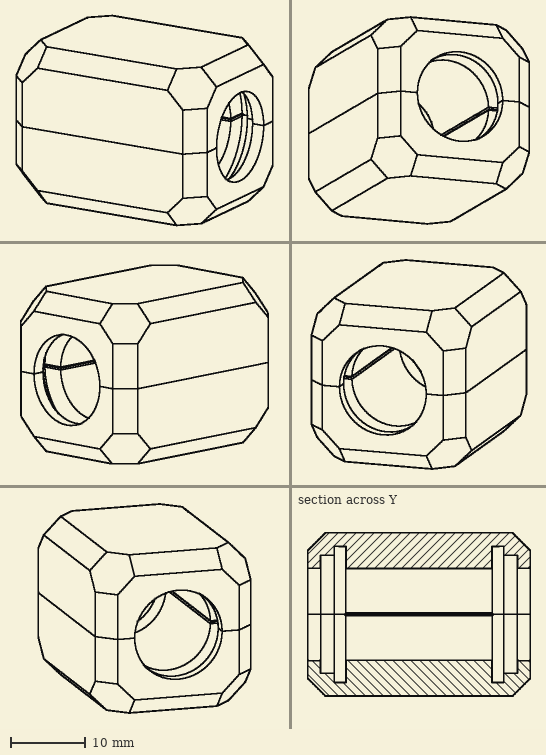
import cadquery as cq
import math

length = 30.0
width = 22.0
edge_chamfer = 2.4
corner_depth = 3 * edge_chamfer

bore_radius = 6.18
first_recess_radius = 7.92
second_recess_radius = 9.15
end_wall = 1.75
second_recess_depth = 3.6
core_depth = 5.15
core_half_length = length / 2 - core_depth

split_chamfer = 0.2


def edge_prism(plane, across, up, span):
    """Rectangular prism whose four long edges carry the outer chamfer."""
    half_across = across / 2
    half_up = up / 2
    points = []
    for side_a, side_b in ((1, 1), (-1, 1), (-1, -1), (1, -1)):
        on_upright = (side_a * half_across, side_b * (half_up - edge_chamfer))
        on_level = (side_a * (half_across - edge_chamfer), side_b * half_up)
        points += [on_upright, on_level] if side_a == side_b else [on_level, on_upright]
    return cq.Workplane(plane).polyline(points).close().extrude(span / 2, both=True)


def corner_cutter(side_x, side_y, side_z):
    """Slab lying outside the hexagonal facet of one corner."""
    outward = cq.Vector(side_x, side_y, side_z)
    sharp_corner = cq.Vector(side_x * length / 2, side_y * width / 2, side_z * width / 2)
    facet_centre = sharp_corner - outward * (corner_depth / 3)
    facet_plane = cq.Plane(origin=facet_centre, normal=outward)
    slab_radius = 2 * corner_depth
    return cq.Workplane(facet_plane).circle(slab_radius).extrude(corner_depth)


def outer_block():
    """Box chamfered on all edges, with each corner cut to a hexagon."""
    block = edge_prism("XY", length, width, width)
    block = block.intersect(edge_prism("XZ", length, width, width))
    block = block.intersect(edge_prism("YZ", width, width, length))
    for side_x in (-1, 1):
        for side_y in (-1, 1):
            for side_z in (-1, 1):
                block = block.cut(corner_cutter(side_x, side_y, side_z))
    return block


def stepped_bore():
    """Through bore with a two-step recess between each end wall and the core."""
    inner_wall = length / 2 - end_wall
    step = length / 2 - second_recess_depth
    bore = cq.Workplane("YZ").circle(bore_radius).extrude(length / 2, both=True)
    for radius, outer_x in ((first_recess_radius, inner_wall), (second_recess_radius, step)):
        recess_length = outer_x - core_half_length
        for start in (-outer_x, core_half_length):
            recess = cq.Workplane("YZ", origin=(start, 0, 0)).circle(radius).extrude(recess_length)
            bore = bore.union(recess)
    return bore


def diamond_bar(plane, offset, half_span):
    """Bar of diamond section, centred on the split plane."""
    section_side = math.sqrt(2) * split_chamfer
    return (
        cq.Workplane(plane, origin=offset)
        .transformed(rotate=(0, 0, 45))
        .rect(section_side, section_side)
        .extrude(half_span, both=True)
    )


def split_edge_cutters():
    """Bars that chamfer the core's straight edges where the two halves meet."""
    bars = []
    for side in (-1, 1):
        bars.append(diamond_bar("YZ", (0, side * bore_radius, 0), core_half_length))
        bars.append(diamond_bar("XZ", (side * core_half_length, 0, 0), second_recess_radius))
    return bars


def half_shell(whole, side):
    """Half of the block above (side = 1) or below (side = -1) the plane Z = 0."""
    half_space = cq.Workplane("XY").rect(length, width).extrude(side * width / 2)
    return whole.intersect(half_space)


whole_block = outer_block().cut(stepped_bore())
for cutter in split_edge_cutters():
    whole_block = whole_block.cut(cutter)

half_shells = [half_shell(whole_block, side) for side in (1, -1)]
result = cq.Compound.makeCompound([half.val() for half in half_shells])